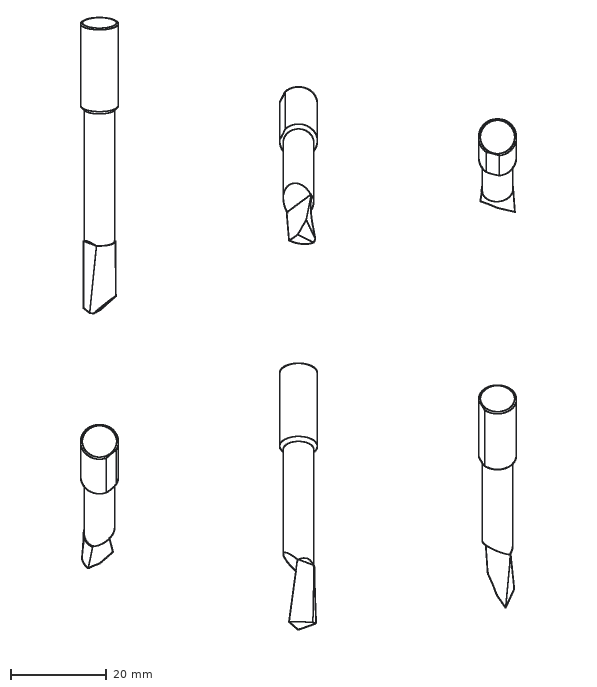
import cadquery as cq
import math

total_length = 63.5
shank_diameter = 7.95
shank_radius = shank_diameter / 2
shank_bottom = 45.2
width_across_flat = 7.7
shank_flat_y = width_across_flat - shank_radius
top_chamfer_radial = 0.4
top_chamfer_height = 0.25
shoulder_height = 0.75
neck_diameter = 6.4
neck_radius = neck_diameter / 2

head_top = 15.35
head_top_radius = 3.35
head_bottom_radius = 3.8
top_corner_angles = {"edge": 208, "heel": 286.5, "back": 383}
bottom_corner_angles = {"edge": 180, "heel": 264, "back": 364}

nose_start_x = 0.1
nose_start_z = 0.1
nose_slope = 1.0
end_slope_x = 0.03
end_slope_y = -0.11

cutter_size = 1.5 * total_length


def polar(radius, degrees):
    angle = math.radians(degrees)
    return (radius * math.cos(angle), radius * math.sin(angle))


def solid_beyond(point, normal):
    """Large block on the side of a plane that its normal points to."""
    plane = cq.Plane(origin=point, normal=normal)
    return cq.Workplane(plane).rect(2 * cutter_size, 2 * cutter_size).extrude(cutter_size)


def make_shank_and_neck():
    profile = [
        (0, head_top),
        (neck_radius, head_top),
        (neck_radius, shank_bottom - shoulder_height),
        (shank_radius, shank_bottom),
        (shank_radius, total_length - top_chamfer_height),
        (shank_radius - top_chamfer_radial, total_length),
        (0, total_length),
    ]
    body = cq.Workplane("XZ").polyline(profile).close().revolve(360, (0, 0), (0, 1))
    return body.cut(solid_beyond((0, shank_flat_y, 0), (0, 1, 0)))


def runout(start, end):
    """45 degree ramp rising outward from the line between two head corners."""
    normal_x = end[1] - start[1]
    normal_y = start[0] - end[0]
    length = math.hypot(normal_x, normal_y)
    return solid_beyond((*start, head_top), (normal_x / length, normal_y / length, -1))


def head_section(z, radius, angles):
    edge = polar(radius, angles["edge"])
    heel = polar(radius, angles["heel"])
    back = polar(radius, angles["back"])
    middle = polar(radius, (angles["heel"] + angles["back"]) / 2)
    section = cq.Workplane("XY", origin=(0, 0, z)).moveTo(*edge).lineTo(*heel)
    return section.threePointArc(middle, back).close().wire().val()


def make_head():
    """Twisted blade with straight-sided rake and relief faces and a round back."""
    bottom = head_section(0, head_bottom_radius, bottom_corner_angles)
    top = head_section(head_top, head_top_radius, top_corner_angles)
    head = cq.Workplane(cq.Solid.makeLoft([bottom, top], True))
    nose = solid_beyond((nose_start_x, 0, nose_start_z), (nose_slope, 0, -1))
    end_face = solid_beyond((-head_bottom_radius, 0, 0), (end_slope_x, end_slope_y, -1))
    return head.cut(nose).cut(end_face)


edge_corner = polar(head_top_radius, top_corner_angles["edge"])
heel_corner = polar(head_top_radius, top_corner_angles["heel"])
back_corner = polar(head_top_radius, top_corner_angles["back"])

body = make_shank_and_neck()
body = body.cut(runout(back_corner, edge_corner))
body = body.cut(runout(edge_corner, heel_corner))
result = body.union(make_head())